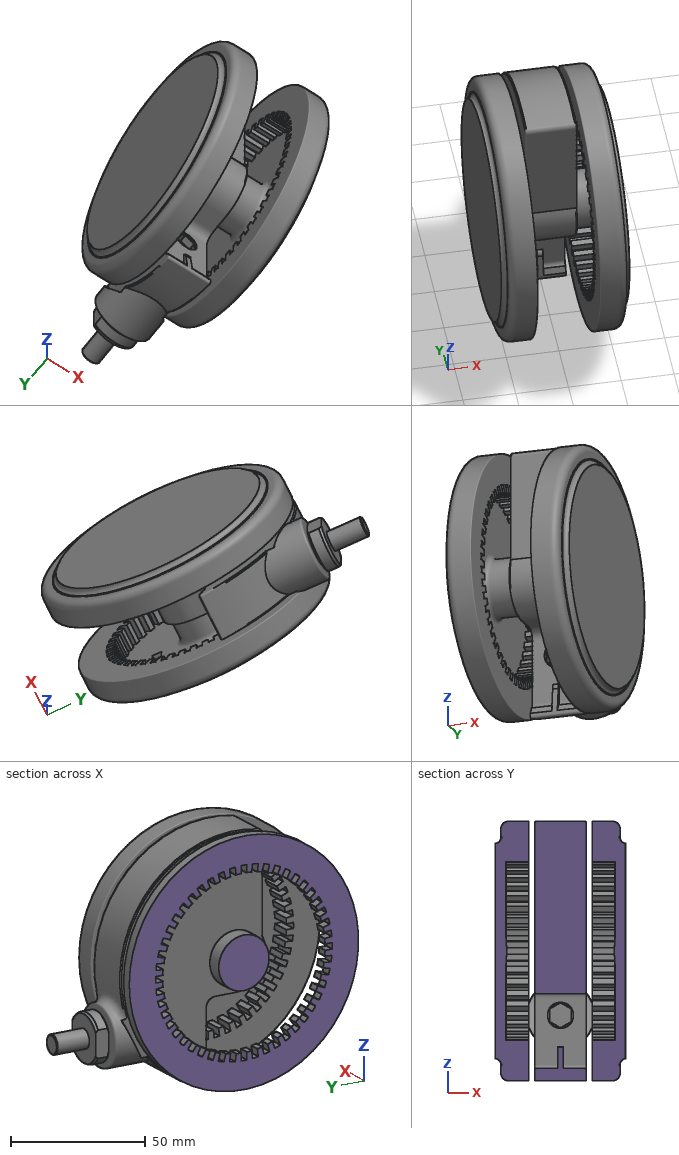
import cadquery as cq
import math


wheel_radius = 50.0
wheel_inner_x = 11.8
wheel_outer_x = 22.3
tread_fillet = 3.0
tread_inner_fillet = 0.4
cap_outer_x = 24.3
cap_radius = 42.0
cap_flare = cap_outer_x - wheel_outer_x
rim_groove_width = 0.4
rim_groove_depth = 0.4

tooth_count = 48
pocket_radius = 35.2
tooth_gap_radius = 38.3
pocket_floor_x = 20.2
hub_radius = 11.0
hub_fillet = 2.1
notch_width = 3.7
notch_height = 6.0
notch_depth = 1.9
notch_y = -21.5
notch_z = -4.2

body_half_width = 9.7
body_edge_fillet = 0.5
body_front_y = -11.9
body_top_fillet = 1.9
nose_radius = 13.6
recess_face_y = 12.4
recess_fillet = 3.8
lip_y = 10.0
lip_fillet = 0.9
lip_start_z = -42.4
lip_middle_z = -44.3
lip_land_z = -46.7

rib_width = 2.2
rib_top_z = -35.6
rib_shoulder_z = -37.8
rib_shoulder_y = 11.2
rib_bulge = 0.4
rib_overlap = 2.2

stem_z = -23.9
stem_radius = 4.0
stem_end_y = 74.0
stem_chamfer = 0.4
nut_radius = 10.2
nut_flats = 17.0
nut_start_y = 54.2
nut_end_y = 60.0
nut_chamfer_length = 1.1
nut_chamfer_inset = 0.5
neck_radius = 7.5
housing_radius = 12.6
housing_end_y = 53.7
housing_start_y = 24.8
housing_fillet = 0.9
housing_blend = 3.1
housing_clearance_radius = 52.0

socket_rim_radius = 4.8
socket_rim_depth = 0.6
socket_flats = 8.2
socket_depth = 3.7


def cylinder_x(radius, start_x, end_x):
    """Cylinder about the wheel axis."""
    return cq.Workplane("YZ", origin=(start_x, 0, 0)).circle(radius).extrude(end_x - start_x)


def arc_inset(radius):
    """Distance of a quarter arc's middle point from either end tangent."""
    return radius * (1 - math.sqrt(0.5))


def stem_plane(y):
    """Workplane centred on the stem axis, facing along +Y."""
    return cq.Workplane(cq.Plane(origin=(0, y, stem_z), xDir=(1, 0, 0), normal=(0, 1, 0)))


def hexagon(flats):
    """Corner points of a hexagon with two flats facing along X."""
    corner = flats / math.sqrt(3)
    angles = [math.radians(30 + 60 * i) for i in range(6)]
    return [(corner * math.cos(a), corner * math.sin(a)) for a in angles]


def toothed_pocket():
    """Round pocket whose wall carries evenly spaced square teeth."""
    pocket = cylinder_x(pocket_radius, wheel_inner_x, pocket_floor_x)
    gap_ring = cylinder_x(tooth_gap_radius, wheel_inner_x, pocket_floor_x)
    gap_width = math.pi * pocket_radius / tooth_count
    gap_height = 2 * (tooth_gap_radius - pocket_radius)
    gap_middle_radius = (pocket_radius + tooth_gap_radius) / 2
    gaps = (
        cq.Workplane("YZ", origin=(wheel_inner_x, 0, 0))
        .polarArray(gap_middle_radius, 0, 360, tooth_count)
        .rect(gap_height, gap_width)
        .extrude(pocket_floor_x - wheel_inner_x)
    )
    return pocket.union(gaps.intersect(gap_ring))


def hub():
    """Hub reaching from the body to the pocket floor, flared at the floor."""
    flare_x = pocket_floor_x - hub_fillet
    flare_radius = hub_radius + hub_fillet
    bulge = arc_inset(hub_fillet)
    return (
        cq.Workplane("XY")
        .lineTo(0, hub_radius)
        .lineTo(flare_x, hub_radius)
        .threePointArc((pocket_floor_x - bulge, hub_radius + bulge), (pocket_floor_x, flare_radius))
        .lineTo(wheel_outer_x, flare_radius)
        .lineTo(wheel_outer_x, 0)
        .close()
        .revolve(360, (0, 0, 0), (1, 0, 0))
    )


def wheel():
    """The wheel on the +X side."""
    tread = cylinder_x(wheel_radius, wheel_inner_x, wheel_outer_x)
    tread = tread.faces(">X").edges().fillet(tread_fillet)
    tread = tread.faces("<X").edges().fillet(tread_inner_fillet)
    flare_radius = cap_radius + cap_flare
    bulge = arc_inset(cap_flare)
    cap = (
        cq.Workplane("XY")
        .moveTo(pocket_floor_x, 0)
        .lineTo(pocket_floor_x, flare_radius)
        .lineTo(wheel_outer_x, flare_radius)
        .threePointArc((wheel_outer_x + bulge, cap_radius + bulge), (cap_outer_x, cap_radius))
        .lineTo(cap_outer_x, 0)
        .close()
        .revolve(360, (0, 0, 0), (1, 0, 0))
    )
    groove = (
        cq.Workplane("YZ", origin=(wheel_outer_x - rim_groove_depth, 0, 0))
        .circle(flare_radius + rim_groove_width)
        .circle(flare_radius)
        .extrude(rim_groove_depth)
    )
    notch = cq.Workplane("XY").box(2 * notch_depth, notch_width, notch_height)
    notch = notch.translate((pocket_floor_x, notch_y, notch_z))
    return tread.union(cap).cut(groove).cut(toothed_pocket()).cut(notch).union(hub())


def body():
    """Central body, one side outline extruded across the width."""
    nose_top_z = math.sqrt(nose_radius**2 - body_front_y**2)
    nose_bottom_z = -nose_radius
    fillet_bulge = arc_inset(recess_fillet)
    top_z = math.sqrt(wheel_radius**2 - body_front_y**2)
    bottom_z = -math.sqrt(wheel_radius**2 - lip_y**2)
    lip_middle_y = (recess_face_y + lip_y) / 2
    outline = (
        cq.Workplane("YZ", origin=(-body_half_width, 0, 0))
        .moveTo(body_front_y, top_z)
        .lineTo(body_front_y, nose_top_z)
        .threePointArc((-nose_radius, 0), (0, nose_bottom_z))
        .lineTo(recess_face_y - recess_fillet, nose_bottom_z)
        .threePointArc(
            (recess_face_y - fillet_bulge, nose_bottom_z - fillet_bulge),
            (recess_face_y, nose_bottom_z - recess_fillet),
        )
        .lineTo(recess_face_y, lip_start_z)
        .tangentArcPoint((lip_middle_y, lip_middle_z), relative=False)
        .lineTo(lip_y, lip_land_z)
        .lineTo(lip_y, bottom_z)
        .threePointArc((wheel_radius, 0), (body_front_y, top_z))
        .close()
    )
    block = outline.extrude(2 * body_half_width)
    top_edge = cq.selectors.NearestToPointSelector((0, body_front_y, top_z))
    block = block.edges(top_edge).fillet(body_top_fillet)
    bottom_edge = cq.selectors.NearestToPointSelector((0, lip_y, bottom_z))
    block = block.edges(bottom_edge).fillet(lip_fillet)
    return block.faces("<X or >X").edges().fillet(body_edge_fillet)


def rib():
    """Upright rib between the recessed face and the lip."""
    shoulder_middle_y = (recess_face_y + rib_shoulder_y) / 2
    shoulder_middle_z = (rib_top_z + rib_shoulder_z) / 2
    return (
        cq.Workplane("YZ", origin=(-rib_width / 2, 0, 0))
        .moveTo(recess_face_y + rib_overlap, rib_top_z)
        .lineTo(recess_face_y, rib_top_z)
        .threePointArc(
            (shoulder_middle_y - rib_bulge, shoulder_middle_z + rib_bulge),
            (rib_shoulder_y, rib_shoulder_z),
        )
        .lineTo(lip_y, lip_land_z)
        .lineTo(recess_face_y + rib_overlap, lip_land_z)
        .close()
        .extrude(rib_width)
    )


def swivel_housing():
    """Round housing about the stem, trimmed to clear the wheels."""
    housing = stem_plane(housing_start_y).circle(housing_radius).extrude(housing_end_y - housing_start_y)
    housing = housing.faces(">Y").edges().fillet(housing_fillet)
    right_clearance = cylinder_x(housing_clearance_radius, body_half_width, wheel_outer_x)
    left_clearance = right_clearance.mirror("YZ")
    return housing.cut(right_clearance).cut(left_clearance)


def stem_and_nut():
    """Plain stem with a round nut, flattened on both sides, and a short neck below it."""
    neck = stem_plane(housing_start_y).circle(neck_radius).extrude(nut_end_y - housing_start_y)
    nut_length = nut_end_y - nut_start_y
    nut = stem_plane(nut_start_y).circle(nut_radius).extrude(nut_length)
    nut = nut.faces("<Y").edges().chamfer(nut_chamfer_inset, nut_chamfer_length)
    nut = nut.faces(">Y").edges().chamfer(nut_chamfer_length, nut_chamfer_inset)
    nut = nut.intersect(stem_plane(nut_start_y).rect(nut_flats, 2 * nut_radius).extrude(nut_length))
    stem = stem_plane(nut_start_y).circle(stem_radius).extrude(stem_end_y - nut_start_y)
    stem = stem.faces(">Y").edges().chamfer(stem_chamfer)
    return neck.union(nut).union(stem)


def bolt_socket():
    """Hexagon socket with a round rim, sunk into the recessed face."""
    rim = stem_plane(recess_face_y).circle(socket_rim_radius).extrude(socket_rim_depth)
    socket = stem_plane(recess_face_y).polyline(hexagon(socket_flats)).close().extrude(socket_depth)
    return rim.union(socket)


right_wheel = wheel()
left_wheel = right_wheel.mirror("YZ")
frame = body().union(swivel_housing())

blend_z = stem_z + housing_radius
blend_y = math.sqrt(wheel_radius**2 - blend_z**2)
blend_edge = cq.selectors.NearestToPointSelector((0, blend_y, blend_z))
frame = frame.edges(blend_edge).fillet(housing_blend)
frame = frame.union(rib()).union(stem_and_nut()).cut(bolt_socket())

result = frame.union(right_wheel).union(left_wheel).solids()